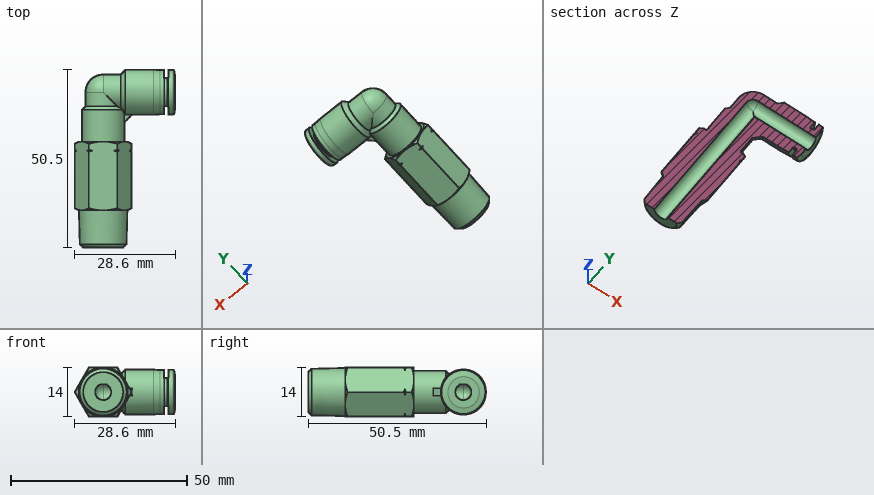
import cadquery as cq
import math

overall_length = 50.5
thread_end_radius = 6.65
thread_root_radius = 6.9
thread_chamfer = 1
hex_start = 10.55
hex_end = 30.05
collar_radius = 6.05
collar_end = 40.05

hex_flats = 14.0
hex_corner_radius = hex_flats / math.sqrt(3)
hex_chamfer_angle = 30
envelope_clearance = 0.5
mark_position = 27.45
mark_depth = 0.4
mark_half_width = 0.3

elbow_radius = 5.05
branch_diameter = 12.9
branch_radius = branch_diameter / 2
branch_axis = overall_length - branch_radius
shoulder_start = 4.95
taper_start = 14.15
taper_end = 16.1
sleeve_end = 17.25
sleeve_end_radius = 6.3
neck_radius = 4.05
neck_flare_start = 18.25
collet_start = 18.55
collet_edge = 19.75
collet_rim = 20.15
branch_end = 20.5
collet_diameter = 12.7
collet_radius = collet_diameter / 2
collet_rim_radius = 6.2
collet_face_radius = 4.45
neck_flare_radius = 4.2

bore_radius = 2.25

rib_thickness = 2
rib_start = 35.55


def leg_revolve(profile):
    """Revolve (radius, Y) points about the Y axis."""
    return cq.Workplane("XY").polyline(profile).close().revolve(360, (0, 0), (0, 1))


def branch_revolve(profile):
    """Revolve (X, radius) points about the branch axis."""
    return (
        cq.Workplane("XY", origin=(0, branch_axis, 0))
        .polyline(profile)
        .close()
        .revolve(360, (0, 0), (1, 0))
    )


def elbow(radius, leg_start, branch_stop):
    """Round elbow with a spherical corner where the two axes meet."""
    leg = cq.Workplane("XZ", origin=(0, leg_start, 0)).circle(radius).extrude(leg_start - branch_axis)
    branch = cq.Workplane("YZ").center(branch_axis, 0).circle(radius).extrude(branch_stop)
    corner = cq.Workplane("XY").sphere(radius).translate((0, branch_axis, 0))
    return leg.union(branch).union(corner)


def make_thread_end():
    return leg_revolve([
        (0, 0),
        (thread_end_radius - thread_chamfer, 0),
        (thread_end_radius, thread_chamfer),
        (thread_root_radius, hex_start),
        (0, hex_start),
    ])


def make_hexagon():
    prism = (
        cq.Workplane("XZ", origin=(0, hex_start, 0))
        .polygon(6, 2 * hex_corner_radius)
        .extrude(hex_start - hex_end)
    )
    face_radius = hex_flats / 2
    outer_radius = hex_corner_radius + envelope_clearance
    drop = (outer_radius - face_radius) * math.tan(math.radians(hex_chamfer_angle))
    mark_root = hex_corner_radius - mark_depth
    mark_slope = mark_half_width / mark_depth
    mark_reach = (outer_radius - mark_root) * mark_slope
    envelope = leg_revolve([
        (0, hex_start),
        (face_radius, hex_start),
        (outer_radius, hex_start + drop),
        (outer_radius, mark_position - mark_reach),
        (mark_root, mark_position),
        (outer_radius, mark_position + mark_reach),
        (outer_radius, hex_end - drop),
        (face_radius, hex_end),
        (0, hex_end),
    ])
    return prism.intersect(envelope)


def make_collar():
    chamfer = collar_radius - elbow_radius
    return leg_revolve([
        (0, hex_end),
        (collar_radius, hex_end),
        (collar_radius, collar_end - chamfer),
        (elbow_radius, collar_end),
        (0, collar_end),
    ])


def make_branch():
    shoulder_end = shoulder_start + branch_radius - elbow_radius
    return branch_revolve([
        (shoulder_start, 0),
        (shoulder_start, elbow_radius),
        (shoulder_end, branch_radius),
        (taper_start, branch_radius),
        (taper_end, sleeve_end_radius),
        (sleeve_end, sleeve_end_radius),
        (sleeve_end, neck_radius),
        (neck_flare_start, neck_radius),
        (collet_start, neck_flare_radius),
        (collet_start, collet_radius),
        (collet_edge, collet_radius),
        (collet_rim, collet_rim_radius),
        (branch_end, collet_face_radius),
        (branch_end, 0),
    ])


def make_rib():
    """45-degree gusset, buried in the collar and the branch."""
    rise = branch_axis - rib_start
    return (
        cq.Workplane("XY")
        .polyline([
            (elbow_radius, rib_start - collar_radius + elbow_radius),
            (collar_radius + rise / 2, rib_start + rise / 2),
            (collar_radius + rise / 2, branch_axis),
            (elbow_radius, branch_axis),
        ])
        .close()
        .extrude(rib_thickness / 2, both=True)
    )


result = (
    make_thread_end()
    .union(make_hexagon())
    .union(make_collar())
    .union(elbow(elbow_radius, collar_end, shoulder_start))
    .union(make_branch())
    .union(make_rib())
    .cut(elbow(bore_radius, 0, branch_end))
)